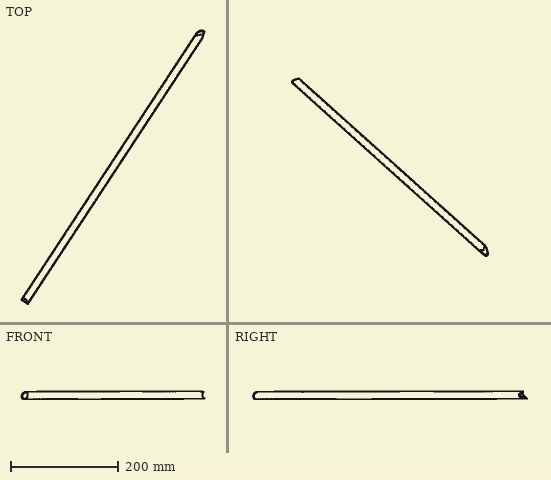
import cadquery as cq
import math

outer_diameter = 15.0
wall = 1.5
plan_length = 609.5
rise = 1.0
plan_angle = 56.7
stock_margin = 30.5

low_saddle_radius = 13.0
low_saddle_lean = 20.0
low_saddle_roll = -14.0

high_saddle_radius = 12.0
high_saddle_roll = -29.0
high_saddle_skew = 44.0
high_saddle_offset = 1.5
high_saddle_overrun = 3.0

side_notch_radius = 7.0
side_notch_turn = 33.0
side_notch_setback = 14.5
side_notch_shift = 13.5

cutter_length = 153.5

bore_diameter = outer_diameter - 2 * wall
stock_length = plan_length + 2 * stock_margin


def tube_stock():
    ring = cq.Workplane("YZ", origin=(-stock_margin, 0, 0))
    return ring.circle(outer_diameter / 2).circle(bore_diameter / 2).extrude(stock_length)


def cutter(centre, direction, radius):
    """Long cylinder centred on a point and lying along a direction."""
    axis = cq.Vector(*direction).normalized()
    start = cq.Vector(*centre) - axis * (cutter_length / 2)
    return cq.Workplane(cq.Solid.makeCylinder(radius, cutter_length, start, axis))


def low_end_cutter():
    lean = math.radians(low_saddle_lean)
    centre = (-low_saddle_radius / math.cos(lean), 0, 0)
    roll = math.radians(low_saddle_roll)
    direction = (
        math.sin(lean),
        -math.cos(lean) * math.sin(roll),
        math.cos(lean) * math.cos(roll),
    )
    return cutter(centre, direction, low_saddle_radius)


def high_end_cutter():
    roll = math.radians(high_saddle_roll)
    skew = math.radians(high_saddle_skew)
    direction = (
        math.sin(skew),
        -math.cos(skew) * math.cos(roll),
        math.cos(skew) * math.sin(roll),
    )
    centre = (
        plan_length + high_saddle_overrun,
        high_saddle_offset * math.sin(roll),
        high_saddle_offset * math.cos(roll),
    )
    return cutter(centre, direction, high_saddle_radius)


def side_notch_cutter():
    turn = math.radians(side_notch_turn)
    direction = (math.cos(turn), math.sin(turn), 0)
    centre = (plan_length - side_notch_setback, -side_notch_shift, 0)
    return cutter(centre, direction, side_notch_radius)


def largest_solid(body):
    """Drop any scrap left beyond the saddle cuts."""
    return cq.Workplane(max(body.solids().vals(), key=lambda solid: solid.Volume()))


tube = largest_solid(tube_stock().cut(low_end_cutter()).cut(high_end_cutter()).cut(side_notch_cutter()))

tilt = math.degrees(math.atan2(rise, plan_length))
tube = tube.rotate((0, 0, 0), (0, 1, 0), -tilt)
result = tube.rotate((0, 0, 0), (0, 0, 1), plan_angle)